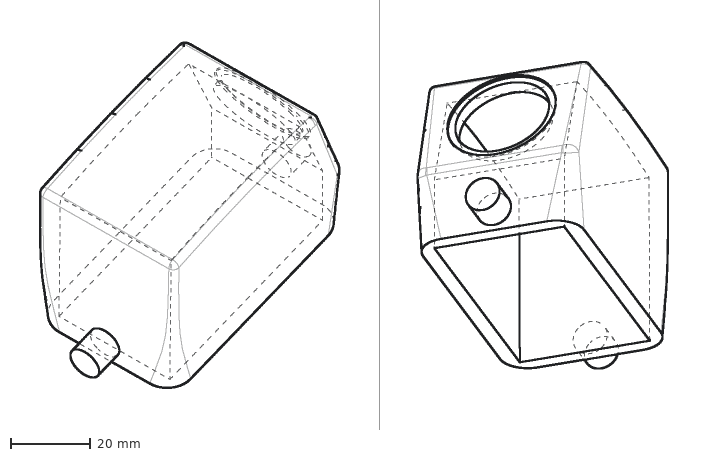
import cadquery as cq
import math

width = 43.0
length = 90.0
height = 51.8

half_base = 36.5
front_top_y = -36.0
bend_y = 36.3
bend_z = 20.25
slope_top_y = 25.6
shoulder_z = 50.5
crown_y = (front_top_y + slope_top_y) / 2
wall = 4.1

front_corner = [(0, 7.4), (10.8, 4.7), (18.9, 3.1), (25.2, 2.3), (32.4, 2.0), (height, 1.8)]
back_corner = [(0, 7.4), (bend_z, 3.2), (height, 1.8)]
bend_radius = 7.2
roof_fillet = 1.9
cutter_margin = 2.7

entry_diameter = 24.9
recess_diameter = 28.8
recess_depth = 0.6
entry_depth = 9.0
entry_y = 30.8

pin_diameter = 9.1
pin_z = 6.0

slope_run = bend_y - slope_top_y
slope_rise = shoulder_z - bend_z
slope_angle = math.atan2(slope_run, slope_rise)


def front_wall_y(z):
    """Y of the upright -Y wall, which has a slight draft."""
    return -half_base + (front_top_y + half_base) * z / shoulder_z


def back_wall_y(z):
    """Y of the +Y wall, which leans inward above the bend."""
    if z <= bend_z:
        return half_base + (bend_y - half_base) * z / bend_z
    return bend_y - slope_run * (z - bend_z) / slope_rise


def make_block():
    profile = (
        cq.Workplane("YZ")
        .moveTo(-half_base, 0)
        .lineTo(half_base, 0)
        .lineTo(bend_y, bend_z)
        .lineTo(slope_top_y, shoulder_z)
        .threePointArc((crown_y, height), (front_top_y, shoulder_z))
        .close()
    )
    return profile.extrude(width / 2, both=True)


def corner_section(z, setback, wall_y, outward):
    """Closed wire outside one rounded corner; outward is the Y direction leaving the hood."""
    side_x = width / 2
    outer_x = side_x + cutter_margin
    outer_y = wall_y + outward * cutter_margin
    arc_inset = setback * (1 - math.sqrt(0.5))
    side_end = cq.Vector(side_x, wall_y - outward * setback, z)
    arc_middle = cq.Vector(side_x - arc_inset, wall_y - outward * arc_inset, z)
    wall_end = cq.Vector(side_x - setback, wall_y, z)
    outer_points = [
        wall_end,
        cq.Vector(side_x - setback, outer_y, z),
        cq.Vector(outer_x, outer_y, z),
        cq.Vector(outer_x, wall_y - outward * setback, z),
        side_end,
    ]
    edges = [cq.Edge.makeThreePointArc(side_end, arc_middle, wall_end)]
    for start, end in zip(outer_points, outer_points[1:]):
        edges.append(cq.Edge.makeLine(start, end))
    return cq.Wire.assembleEdges(edges)


def corner_cutter(stations, wall_position, outward, ruled):
    sections = []
    for z, setback in stations:
        sections.append(corner_section(z, setback, wall_position(z), outward))
    return cq.Workplane(obj=cq.Solid.makeLoft(sections, ruled))


def round_corners(body):
    cutters = [
        corner_cutter(front_corner, front_wall_y, -1, False),
        corner_cutter(back_corner, back_wall_y, 1, True),
    ]
    for cutter in cutters:
        body = body.cut(cutter).cut(cutter.mirror("YZ"))
    return body


def round_roof_and_bend(body):
    body = body.faces(">Z").edges().fillet(roof_fillet)
    band = 0.1
    lower = (-width, 0, bend_z - band)
    upper = (width, length, bend_z + band)
    bend_edges = cq.selectors.BoxSelector(lower, upper)
    return body.edges(bend_edges).fillet(bend_radius)


def make_cavity():
    """Open-bottomed hollow that keeps the wall thickness at the sides, ends and roof."""
    slope_shift = wall / math.cos(slope_angle)
    inner_shoulder = shoulder_z - wall
    inner_front = -half_base + wall
    inner_front_top = front_top_y + wall
    inner_back = half_base - wall
    inner_bend = bend_z - (slope_shift - wall) * slope_rise / slope_run
    inner_top_back = back_wall_y(inner_shoulder) - slope_shift
    return (
        cq.Workplane("YZ")
        .moveTo(inner_front, 0)
        .lineTo(inner_back, 0)
        .lineTo(inner_back, inner_bend)
        .lineTo(inner_top_back, inner_shoulder)
        .threePointArc((crown_y, height - wall), (inner_front_top, inner_shoulder))
        .close()
        .extrude(width / 2 - wall, both=True)
    )


def cut_cable_entry(body):
    entry_z = bend_z + (bend_y - entry_y) * slope_rise / slope_run
    face_normal = (0, math.cos(slope_angle), math.sin(slope_angle))
    plane = cq.Plane(origin=(0, entry_y, entry_z), xDir=(1, 0, 0), normal=face_normal)
    bore = cq.Workplane(plane).circle(entry_diameter / 2).extrude(-entry_depth)
    recess = cq.Workplane(plane).circle(recess_diameter / 2).extrude(-recess_depth)
    return body.cut(bore).cut(recess)


def make_pins():
    """Two pins on a common axis, each rooted inside an end wall."""
    root_y = half_base - wall / 2
    pin = (
        cq.Workplane("XZ", origin=(0, -root_y, pin_z))
        .circle(pin_diameter / 2)
        .extrude(length / 2 - root_y)
    )
    return pin.union(pin.mirror("XZ"))


hood = round_corners(make_block())
hood = round_roof_and_bend(hood)
hood = hood.cut(make_cavity())
hood = cut_cable_entry(hood)
result = hood.union(make_pins())